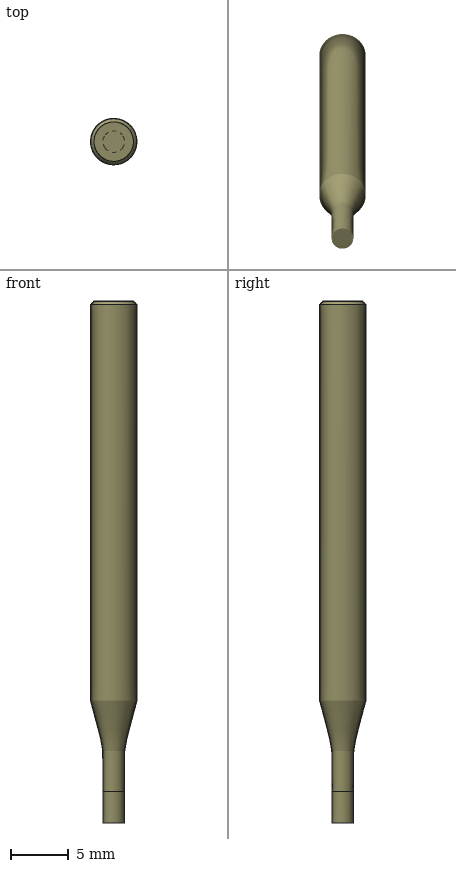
import cadquery as cq
import math

overall_length = 45.0
cutting_length = 2.7
neck_top = 6.2
taper_bottom = 7.85
taper_top = 10.56

shank_radius = 2.0
cutter_radius = 0.93
neck_top_radius = 0.95

end_chamfer = 0.3
taper_half_angle = math.radians(15.0)
taper_bottom_radius = shank_radius - (taper_top - taper_bottom) * math.tan(taper_half_angle)


def make_cutter():
    """Plain cylinder that stands for the cutting end."""
    return cq.Workplane("XY").circle(cutter_radius).extrude(cutting_length)


def make_holder():
    """Chamfered shank, taper, concave blend and slightly conical neck, turned about Z."""
    half_profile = (
        cq.Workplane("XZ")
        .moveTo(0, overall_length)
        .lineTo(shank_radius - end_chamfer, overall_length)
        .lineTo(shank_radius, overall_length - end_chamfer)
        .lineTo(shank_radius, taper_top)
        .lineTo(taper_bottom_radius, taper_bottom)
        .tangentArcPoint((neck_top_radius, neck_top), relative=False)
        .lineTo(cutter_radius, cutting_length)
        .lineTo(0, cutting_length)
        .close()
    )
    return half_profile.revolve(360, (0, 0, 0), (0, 1, 0))


cutter = make_cutter()
holder = make_holder()

result = cq.Compound.makeCompound([cutter.val(), holder.val()])